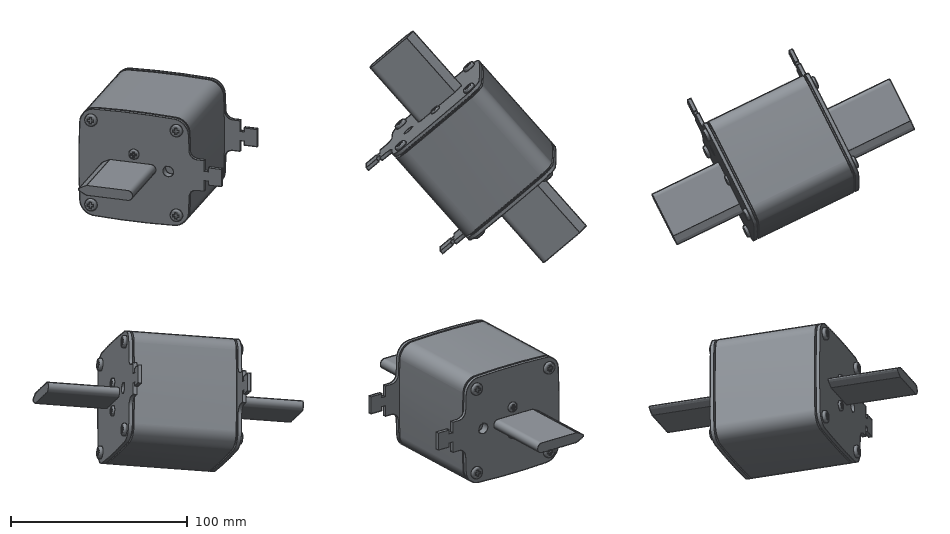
import cadquery as cq

body_half_width = 33.0
corner_half_width = 32.0
corner_radius = 9.0
body_end = 30.0

neck_inset = 2.2
plate_inner = 31.0
plate_outer = 33.2
plate_thickness = plate_outer - plate_inner

tab_half_height = 9.3
tab_end = 41.8
tab_root_radius = 5.0
root_margin = 0.8
lug_neck_half_height = 2.8
lug_start = 44.4
lug_end = 52.0
lug_half_height = 5.2

blade_tip_y = 75.0
blade_half_thickness = 3.0
blade_round_edge = 13.0
blade_bevel_start = -14.4
nose_start = -18.2
nose_half_thickness = 1.12
nose_tip_start = -19.0
nose_tip_half_thickness = 0.5
nose_tip = -19.4

hole_x = 20.4
hole_radius = 3.2
hole_depth = 4.8

corner_screw_x = 25.5
corner_screw_z = 25.8
corner_head_radius = 3.6
corner_head_height = 2.0
corner_head_rounding = 0.98
corner_slot_length = 3.8
corner_slot_width = 1.4

blade_screw_offset = 8.1
blade_head_radius = 3.0
blade_head_height = 1.4
blade_head_rounding = 1.0
blade_slot_length = 3.3
blade_slot_width = 0.9

slot_depth = 0.8


def section_at(y):
    """Workplane across the part at y; its local axes are X and Z and its normal is -Y."""
    return cq.Workplane("XZ", origin=(0, y, 0))


def crowned_block(inset, start, end):
    """Rounded square with crowned sides, shrunk evenly by inset, from y = start to y = end."""
    middle = body_half_width - inset
    corner = corner_half_width - inset
    block = (
        section_at(end)
        .moveTo(-corner, -corner)
        .threePointArc((0, -middle), (corner, -corner))
        .threePointArc((middle, 0), (corner, corner))
        .threePointArc((0, middle), (-corner, corner))
        .threePointArc((-middle, 0), (-corner, -corner))
        .close()
        .extrude(end - start)
    )
    return block.edges("|Y").fillet(corner_radius - inset)


def tab_bar(start, end, half_height):
    """Rectangular bar as thick as the plate, from x = start to x = end."""
    return (
        section_at(plate_outer)
        .center((start + end) / 2, 0)
        .rect(end - start, 2 * half_height)
        .extrude(plate_thickness)
    )


def make_plate():
    """End plate with its tab and lug; the tab meets the plate in two round roots."""
    plate = crowned_block(0, plate_inner, plate_outer).union(tab_bar(0, tab_end, tab_half_height))
    root_zone = cq.selectors.BoxSelector(
        (corner_half_width, 0, -tab_half_height - root_margin),
        (body_half_width + root_margin, plate_outer + root_margin, tab_half_height + root_margin),
    )
    plate = plate.edges("|Y").edges(root_zone).fillet(tab_root_radius)
    lug_neck = tab_bar(0, lug_start, lug_neck_half_height)
    lug = tab_bar(lug_start, lug_end, lug_half_height)
    return plate.union(lug_neck).union(lug)


def make_blade():
    """Knife blade reaching from inside the body to its tip."""
    round_start = blade_round_edge - blade_half_thickness
    return (
        section_at(blade_tip_y)
        .moveTo(blade_bevel_start, blade_half_thickness)
        .lineTo(round_start, blade_half_thickness)
        .threePointArc((blade_round_edge, 0), (round_start, -blade_half_thickness))
        .lineTo(blade_bevel_start, -blade_half_thickness)
        .lineTo(nose_start, -nose_half_thickness)
        .lineTo(nose_tip_start, -nose_tip_half_thickness)
        .threePointArc((nose_tip, 0), (nose_tip_start, nose_tip_half_thickness))
        .lineTo(nose_start, nose_half_thickness)
        .close()
        .extrude(blade_tip_y - body_end)
    )


def make_screw_heads(places, radius, height, rounding, slot_length, slot_width):
    """Round-edged screw heads on the plate, each with a cross slot."""
    head_top = plate_outer + height
    heads = section_at(head_top).pushPoints(places).circle(radius).extrude(height)
    heads = heads.faces(">Y").edges().fillet(rounding)
    for length, width in ((slot_length, slot_width), (slot_width, slot_length)):
        slots = section_at(head_top).pushPoints(places).rect(length, width).extrude(slot_depth)
        heads = heads.cut(slots)
    return heads


indicator_hole = section_at(plate_outer).center(hole_x, 0).circle(hole_radius).extrude(hole_depth)

corner_places = [
    (x, z)
    for x in (-corner_screw_x, corner_screw_x)
    for z in (-corner_screw_z, corner_screw_z)
]
corner_heads = make_screw_heads(
    corner_places,
    corner_head_radius,
    corner_head_height,
    corner_head_rounding,
    corner_slot_length,
    corner_slot_width,
)
blade_heads = make_screw_heads(
    [(0, -blade_screw_offset), (0, blade_screw_offset)],
    blade_head_radius,
    blade_head_height,
    blade_head_rounding,
    blade_slot_length,
    blade_slot_width,
)

end_assembly = (
    crowned_block(neck_inset, body_end, plate_inner)
    .union(make_plate())
    .union(make_blade())
    .union(corner_heads)
    .union(blade_heads)
)

result = (
    crowned_block(0, -body_end, body_end)
    .union(end_assembly)
    .union(end_assembly.mirror("XZ"))
    .cut(indicator_hole)
    .cut(indicator_hole.mirror("XZ"))
)